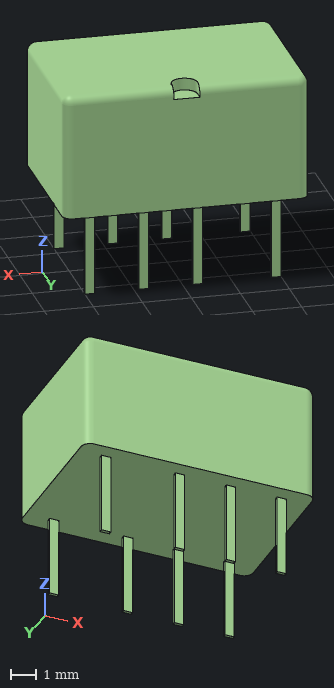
import cadquery as cq

body_length = 10.0
body_width = 6.51
body_height = 5.2
edge_radius = 0.4

pin_width = 0.4
pin_thickness = 0.15
pin_length = 3.5
row_spacing = 5.08
end_pin_x = 3.8
pin_pitch = 2.2
pin_positions_x = (-end_pin_x, end_pin_x - 2 * pin_pitch, end_pin_x - pin_pitch, end_pin_x)

notch_width = 1.06
notch_depth = 0.5
notch_center_y = body_width / 2 - edge_radius


def make_body():
    """Box with rounded vertical and top edges and a sharp bottom edge."""
    box = cq.Workplane("XY").box(body_length, body_width, body_height, centered=(True, True, False))
    return box.edges("|Z or >Z").fillet(edge_radius)


def make_notch():
    """Cutter for the notch: a round end plus a straight run out through +Y."""
    floor = cq.Workplane("XY").workplane(offset=body_height - notch_depth)
    round_end = floor.center(0, notch_center_y).circle(notch_width / 2).extrude(notch_depth)
    run_length = body_width / 2 - notch_center_y
    run_center_y = notch_center_y + run_length / 2
    straight_run = floor.center(0, run_center_y).rect(notch_width, run_length).extrude(notch_depth)
    return round_end.union(straight_run)


def make_pins():
    """Both rows of pins, hanging down from the bottom face."""
    centers = [(x, side * row_spacing / 2) for x in pin_positions_x for side in (-1, 1)]
    return cq.Workplane("XY").pushPoints(centers).rect(pin_width, pin_thickness).extrude(-pin_length)


result = make_body().cut(make_notch()).union(make_pins())